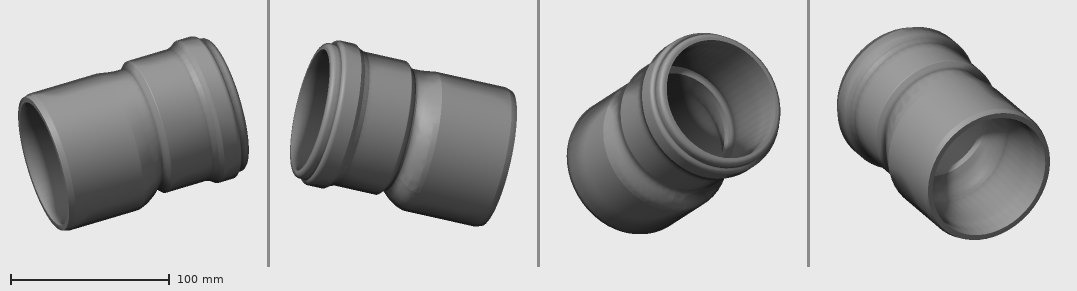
import cadquery as cq

length = 122.8

axis_offset = 6.0
spigot_radius = 90.0 / 2
spigot_bore_radius = 80.8 / 2
spigot_tip_radius = 87.5 / 2
tip_chamfer_length = 3.9
spigot_end = 50.1

shoulder_y = 55.6
shoulder_drop = 1.1
neck_start = 64.5
neck_end = 65.6
neck_radius = 78.7 / 2
neck_bore_radius = 68.8 / 2

socket_start = 69.5
socket_corner_round = 1.0
socket_radius = 86.6 / 2
socket_bore_radius = 78.3 / 2

bead_radius = 93.6 / 2
bead_foot_start = 97.5
bead_foot_end = 101.1
bead_foot_radius = 44.6
bead_flat_start = 104.1
bead_round = 3.0
rim_round = 3.1
rim_radius = 87.5 / 2
rim_start = length - rim_round
bead_end = 116.5
bead_flat_end = bead_end - bead_round
diagonal = 0.5 ** 0.5


def oval_section(half_width, half_height, y, z):
    return cq.Wire.makeEllipse(
        half_width, half_height, cq.Vector(0, y, z), cq.Vector(0, 1, 0), cq.Vector(1, 0, 0)
    )


def spigot_body():
    profile = (
        cq.Workplane("XY")
        .lineTo(spigot_tip_radius, 0)
        .lineTo(spigot_radius, tip_chamfer_length)
        .lineTo(spigot_radius, spigot_end)
        .lineTo(0, spigot_end)
        .close()
    )
    return profile.revolve(360, (0, 0), (0, 1)).translate((0, 0, -axis_offset))


def transition(spigot_end_radius, neck_end_radius):
    """Smooth eccentric shoulder: straight sides and top, bulging underside."""
    fraction = (shoulder_y - spigot_end) / (neck_start - spigot_end)
    half_width = spigot_end_radius + fraction * (neck_end_radius - spigot_end_radius)
    spigot_top = spigot_end_radius - axis_offset
    top = spigot_top + fraction * (neck_end_radius - spigot_top)
    bottom = shoulder_drop - spigot_end_radius - axis_offset
    sections = [
        oval_section(spigot_end_radius, spigot_end_radius, spigot_end, -axis_offset),
        oval_section(half_width, (top - bottom) / 2, shoulder_y, (top + bottom) / 2),
        oval_section(neck_end_radius, neck_end_radius, neck_start, 0),
    ]
    return cq.Workplane(obj=cq.Solid.makeLoft(sections))


def socket_body():
    bead_middle_radius = (bead_radius - bead_round) + bead_round * diagonal
    rim_middle_radius = (rim_radius - rim_round) + rim_round * diagonal
    profile = (
        cq.Workplane("XY")
        .moveTo(0, neck_start)
        .lineTo(neck_radius, neck_start)
        .lineTo(neck_radius, neck_end)
        .lineTo(socket_radius, socket_start)
        .lineTo(socket_radius, bead_foot_start)
        .lineTo(bead_foot_radius, bead_foot_end)
        .lineTo(bead_radius, bead_flat_start)
        .lineTo(bead_radius, bead_flat_end)
        .threePointArc(
            (bead_middle_radius, bead_flat_end + bead_round * diagonal),
            (bead_radius - bead_round, bead_end),
        )
        .lineTo(rim_radius, rim_start)
        .threePointArc(
            (rim_middle_radius, rim_start + rim_round * diagonal),
            (rim_radius - rim_round, length),
        )
        .lineTo(0, length)
        .close()
    )
    body = profile.revolve(360, (0, 0), (0, 1))
    corner = cq.selectors.NearestToPointSelector((0, socket_start, 0))
    return body.edges("%CIRCLE").edges(corner).fillet(socket_corner_round)


def bore(radius, start, end, z):
    return cq.Workplane(
        obj=cq.Solid.makeCylinder(radius, end - start, cq.Vector(0, start, z), cq.Vector(0, 1, 0))
    )


def passage():
    spigot_bore = bore(spigot_bore_radius, 0, spigot_end, -axis_offset)
    neck_bore = bore(neck_bore_radius, neck_start, socket_start, 0)
    socket_bore = bore(socket_bore_radius, socket_start, length, 0)
    taper = transition(spigot_bore_radius, neck_bore_radius)
    return spigot_bore.union(taper).union(neck_bore).union(socket_bore)


shell = spigot_body().union(transition(spigot_radius, neck_radius)).union(socket_body())
middle_height = (bead_radius - axis_offset - spigot_radius) / 2
result = shell.cut(passage()).translate((0, -length / 2, -middle_height))